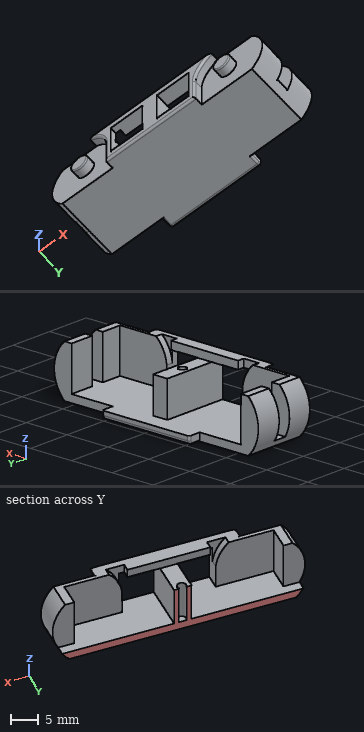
import cadquery as cq
import math

length = 50.05
height = 11.6
body_depth = 14.15
end_radius = 8
floor_thickness = 1.8
front_wall = 0.9
cavity_half_length = 20.7
slot_front = 5.6
slot_back = 8.45

panel_projection = 2.15
panel_edge_radius = 0.5
window_outer_x = 9.25
window_top = 9.8

peg_x = 16.9
peg_diameter = 3.85
peg_edge_radius = 0.25
flank_radius = 6.3
pocket_radius = 7.7
pocket_inner_x = 8.2
pocket_front = -0.65

block_width = 3.5
block_back = 13.05
hole_y = 6.95
hole_diameter = 1.75

tab_half_width = 10.65
tab_projection = 2.9
tab_back_radius = 0.9
tab_side_radius = 0.45

mid_z = height / 2
half_length = length / 2
panel_half_width = peg_x - flank_radius


def box(x0, x1, y0, y1, z0, z1):
    return cq.Workplane("XY").box(x1 - x0, y1 - y0, z1 - z0, centered=False).translate((x0, y0, z0))


def cylinder_y(x, z, radius, y0, y1):
    return cq.Workplane("XZ", origin=(x, y1, z)).circle(radius).extrude(y1 - y0)


def make_body():
    corner_x = half_length - end_radius + math.sqrt(end_radius**2 - mid_z**2)
    body = (
        cq.Workplane("XZ", origin=(0, body_depth, 0))
        .moveTo(-corner_x, 0)
        .lineTo(corner_x, 0)
        .threePointArc((half_length, mid_z), (corner_x, height))
        .lineTo(-corner_x, height)
        .threePointArc((-half_length, mid_z), (-corner_x, 0))
        .close()
        .extrude(body_depth)
    )
    cavity = box(-cavity_half_length, cavity_half_length, front_wall, body_depth, floor_thickness, height)
    slots = box(-half_length, half_length, slot_front, slot_back, floor_thickness, height)
    return body.cut(cavity).cut(slots)


def make_panel():
    top_x = peg_x - math.sqrt(flank_radius**2 - mid_z**2)
    arc_angle = math.asin(mid_z / flank_radius) / 2
    arc_x = peg_x - flank_radius * math.cos(arc_angle)
    arc_z = mid_z + flank_radius * math.sin(arc_angle)
    panel = (
        cq.Workplane("XZ")
        .moveTo(-panel_half_width, 0)
        .lineTo(panel_half_width, 0)
        .lineTo(panel_half_width, mid_z)
        .threePointArc((arc_x, arc_z), (top_x, height))
        .lineTo(-top_x, height)
        .threePointArc((-arc_x, arc_z), (-panel_half_width, mid_z))
        .close()
        .extrude(panel_projection)
    )
    return panel.faces("<Y").edges("not >Z").fillet(panel_edge_radius)


def make_tab():
    tab = box(-tab_half_width, tab_half_width, front_wall, body_depth + tab_projection, 0, floor_thickness)
    tab = tab.faces(">Y").edges("<Z").fillet(tab_back_radius)
    for end_face in ("<X", ">X"):
        tab = tab.faces(end_face).edges("not (>Z or <Y)").fillet(tab_side_radius)
    return tab


def make_peg(side):
    peg = cylinder_y(side * peg_x, mid_z, peg_diameter / 2, -panel_projection, 0)
    return peg.faces("<Y").edges().fillet(peg_edge_radius)


def make_pocket(side):
    inner, outer = sorted((side * pocket_inner_x, side * peg_x))
    pocket = box(inner, outer, pocket_front, front_wall, mid_z, height)
    return pocket.cut(cylinder_y(side * peg_x, mid_z, pocket_radius, pocket_front, front_wall))


result = make_body().union(make_panel()).union(make_tab())
block_half = block_width / 2
result = result.union(box(-block_half, block_half, 0, block_back, 0, window_top))
for side in (-1, 1):
    inner, outer = sorted((side * block_half, side * window_outer_x))
    window = box(inner, outer, -panel_projection, front_wall, floor_thickness, window_top)
    result = result.union(make_peg(side)).cut(window).cut(make_pocket(side))
hole = cq.Workplane("XY", origin=(0, hole_y, floor_thickness)).circle(hole_diameter / 2).extrude(height)
result = result.cut(hole)